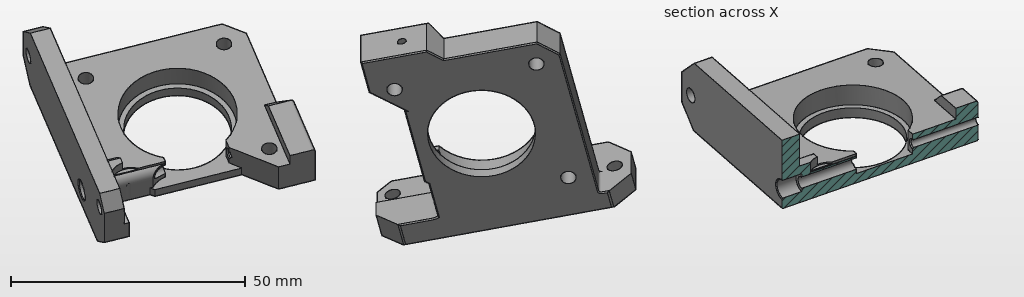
import cadquery as cq

plate_length = 55.5
plate_height = 17.65
plate_thickness = 4.5
plate_corner = 5.0
plate_small_corner = 3.1
plate_hole_diameter = 3.35
plate_hole_places = [(3.6, 8.65), (52.1, 12.9)]

motor_x = 27.95
motor_y = 25.5
motor_half_width = 21.0
screw_offset = 15.5
screw_diameter = 3.3
body_height = 7.55
body_corner = 4.1
bore_diameter = 23.0
register_diameter = 25.4
flange_height = 2.5
flange_right = 42.7
flange_corner_y = 15.55

channel_front = 18.8
channel_back = 32.9
ear_tip_x = 40.45
ear_side_y = 41.25

part_depth = 49.5
bar_top = 10.3
bar_front = 43.8
bar_left = 31.45
bar_edge_radius = 0.8

clamp_x = 39.95
clamp_z = 5.0
clamp_head_radius = 2.2
clamp_head_chamfer = 0.2
clamp_head_depth = 5.0
clamp_clearance_radius = 1.4
clamp_thread_radius = 0.95
clamp_thread_chamfer = 0.3
barrel_radius = 1.95
barrel_end_setback = 3.45
barrel_end_mid_x = 0.65
barrel_end_mid_setback = 1.85

rib_left = 35.7
rib_back = 9.5
rib_top = 9.5
screw_head_radius = 4.4
screw_head_floor = 7.2

bottom_chamfer = 0.3
corner_fillet = 0.55

body_left = motor_x - motor_half_width
body_right = motor_x + motor_half_width
body_back = motor_y + motor_half_width
barrel_right = clamp_x + barrel_radius
corner_screw_x = motor_x + screw_offset
corner_screw_y = motor_y - screw_offset
plate_back_wall = corner_screw_y - screw_head_radius


def box(x0, x1, y0, y1, z0, z1):
    """Box given by its limits along each axis."""
    return cq.Workplane("XY").box(x1 - x0, y1 - y0, z1 - z0, centered=False).translate((x0, y0, z0))


def cylinder_z(x, y, radius, z0, z1):
    """Upright cylinder."""
    return cq.Workplane("XY", origin=(x, y, z0)).circle(radius).extrude(z1 - z0)


def cylinder_y(x, z, radius, y0, y1):
    """Cylinder lying along Y."""
    return cq.Workplane("XZ", origin=(x, y0, z)).circle(radius).extrude(y0 - y1)


def cone_y(x, z, front_radius, back_radius, y0):
    """45 degree cone lying along Y, narrowing from the front."""
    length = front_radius - back_radius
    solid = cq.Solid.makeCone(front_radius, back_radius, length, cq.Vector(x, y0, z), cq.Vector(0, 1, 0))
    return cq.Workplane(solid)


def plate_shape(depth):
    """Plate outline with cut corners, extruded back from the front face."""
    return (
        cq.Workplane("XZ")
        .moveTo(plate_corner, 0)
        .lineTo(plate_length - plate_corner, 0)
        .lineTo(plate_length, plate_corner)
        .lineTo(plate_length, plate_height - plate_small_corner)
        .lineTo(plate_length - plate_small_corner, plate_height)
        .lineTo(plate_corner, plate_height)
        .lineTo(0, plate_height - plate_corner)
        .lineTo(0, plate_corner)
        .close()
        .extrude(-depth)
    )


def main_block():
    """Left and back of the motor body, with the ear that carries the back bar."""
    return (
        cq.Workplane("XY")
        .moveTo(body_left, 0)
        .lineTo(clamp_x, 0)
        .lineTo(clamp_x, channel_back)
        .lineTo(ear_tip_x, channel_back)
        .lineTo(body_right, ear_side_y)
        .lineTo(body_right, part_depth)
        .lineTo(bar_left + part_depth - body_back, part_depth)
        .lineTo(bar_left, body_back)
        .lineTo(body_left + body_corner, body_back)
        .lineTo(body_left, body_back - body_corner)
        .close()
        .extrude(body_height)
    )


def flange():
    """Thin floor that carries on past the open channel."""
    corner = flange_right - barrel_right
    back = ear_side_y - (body_right - flange_right)
    return (
        cq.Workplane("XY")
        .moveTo(body_left, 0)
        .lineTo(barrel_right, 0)
        .lineTo(barrel_right, flange_corner_y - corner)
        .lineTo(flange_right, flange_corner_y)
        .lineTo(flange_right, back)
        .lineTo(body_left, back)
        .close()
        .extrude(flange_height)
    )


def clamp_barrel():
    """Rounded side wall around the clamping screw, with a curved back end."""
    wall = box(clamp_x, barrel_right, 0, channel_front, 0, clamp_z)
    wall = wall.union(cylinder_y(clamp_x, clamp_z, barrel_radius, 0, channel_front))
    end_curve_middle = (clamp_x + barrel_end_mid_x, channel_front - barrel_end_mid_setback)
    end_outline = (
        cq.Workplane("XY")
        .moveTo(clamp_x - barrel_radius, 0)
        .lineTo(barrel_right, 0)
        .lineTo(barrel_right, channel_front - barrel_end_setback)
        .threePointArc(end_curve_middle, (clamp_x, channel_front))
        .lineTo(clamp_x - barrel_radius, channel_front)
        .close()
        .extrude(body_height)
    )
    return wall.intersect(end_outline)


def back_bar():
    """Raised bar with a sloped left end and a rounded back top edge."""
    slope = bar_top - body_height
    bar = (
        cq.Workplane("XZ", origin=(0, bar_front, 0))
        .moveTo(bar_left, body_height)
        .lineTo(bar_left + slope, bar_top)
        .lineTo(body_right, bar_top)
        .lineTo(body_right, body_height)
        .close()
        .extrude(bar_front - part_depth)
    )
    corner_wedge = (
        cq.Workplane("XY", origin=(0, 0, body_height))
        .moveTo(bar_left, body_back)
        .lineTo(bar_left, part_depth)
        .lineTo(bar_left + part_depth - body_back, part_depth)
        .close()
        .extrude(slope)
    )
    return bar.edges(">Y and >Z").fillet(bar_edge_radius).cut(corner_wedge)


def plate_rib():
    """Rib behind the plate, sloped on the left and scooped out for the corner screw head."""
    rib = (
        cq.Workplane("XZ")
        .moveTo(rib_left, 0)
        .lineTo(rib_left, body_height)
        .lineTo(rib_left + rib_top - body_height, rib_top)
        .lineTo(plate_length, rib_top)
        .lineTo(plate_length, 0)
        .close()
        .extrude(-rib_back)
    )
    open_side = box(corner_screw_x, plate_length, plate_back_wall, rib_back, 0, rib_top)
    side_scoop = cylinder_z(corner_screw_x, corner_screw_y, screw_head_radius, 0, rib_top)
    return rib.intersect(plate_shape(rib_back)).cut(open_side).cut(side_scoop)


body = main_block()
body = body.cut(box(motor_x, plate_length, channel_front, channel_back, flange_height, body_height))
body = body.cut(cylinder_z(corner_screw_x, corner_screw_y, screw_head_radius, screw_head_floor, body_height))
body = body.union(flange()).union(clamp_barrel()).union(plate_rib())
body = body.union(plate_shape(plate_thickness))
body_plate_corner = cq.selectors.NearestToPointSelector((body_left, plate_thickness, body_height / 2))
body = body.edges(body_plate_corner).fillet(corner_fillet)
body = body.faces("<Z").edges().chamfer(bottom_chamfer)
body = body.union(back_bar())

body = body.cut(cylinder_z(motor_x, motor_y, bore_diameter / 2, 0, body_height))
body = body.cut(cylinder_z(motor_x, motor_y, register_diameter / 2, flange_height, body_height))
for side_x in (-1, 1):
    for side_y in (-1, 1):
        x = motor_x + side_x * screw_offset
        y = motor_y + side_y * screw_offset
        body = body.cut(cylinder_z(x, y, screw_diameter / 2, 0, body_height))

for x, z in plate_hole_places:
    body = body.cut(cylinder_y(x, z, plate_hole_diameter / 2, 0, plate_thickness))

body = body.cut(cylinder_y(clamp_x, clamp_z, clamp_head_radius, 0, clamp_head_depth))
body = body.cut(cone_y(clamp_x, clamp_z, clamp_head_radius + clamp_head_chamfer, clamp_head_radius, 0))
body = body.cut(cylinder_y(clamp_x, clamp_z, clamp_clearance_radius, 0, channel_front))
body = body.cut(cylinder_y(clamp_x, clamp_z, clamp_thread_radius, channel_back, part_depth))
body = body.cut(cone_y(clamp_x, clamp_z, clamp_thread_radius + clamp_thread_chamfer,
                       clamp_thread_radius, channel_back))

result = body